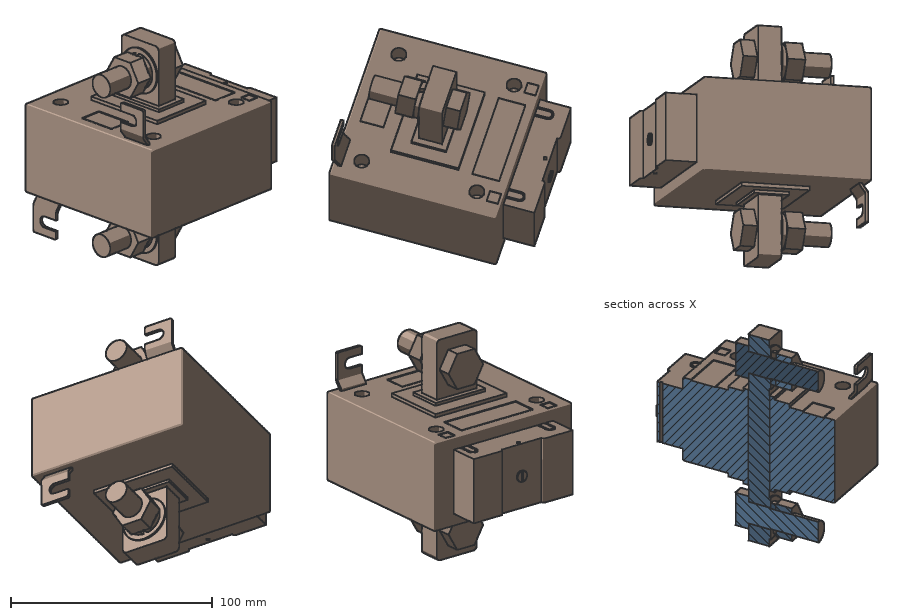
import cadquery as cq
import math


overall_height = 118.0

housing_side = 87.0
housing_height = 47.8
housing_edge_radius = 1.2
housing_top = housing_height / 2
housing_front = -housing_side / 2
housing_back = housing_side / 2

collar_base_x = 45.0
collar_base_y = 35.0
collar_base_height = 1.9
collar_step_x = 31.4
collar_step_y = 18.0
collar_step_height = 1.5

blind_hole_diameter = 7.4
blind_hole_depth = 10.0
blind_hole_spacing_x = 63.2
blind_hole_spacing_y = 59.7

label_depth = 0.5
rating_label_y = 13.9
rating_label_centre_y = 31.6
terminal_label_x = 20.1
terminal_label_y = 12.0
terminal_label_centre_y = -31.2
mark_label_side = 5.8
mark_label_centre_x = 32.1
mark_label_centre_y = 38.8

block_width = 62.3
block_reach = 16.0
block_height = 34.3
block_back = housing_back + block_reach
block_top = block_height / 2
notch_width = 25.0
notch_depth = 1.5
notch_corner_radius = 1.4
notch_floor = block_back - notch_depth
seal_hole_diameter = 1.7
seal_hole_inset = 3.9
screw_head_diameter = 5.9
screw_head_height = 0.8
screw_slot_width = 1.0

groove_centre_x = 24.3
groove_outer_radius = 2.6
groove_width = 0.7
groove_reach = 9.0
groove_depth = 0.5

bracket_thickness = 1.5
bracket_inner_x = 22.1
bracket_width = 15.5
bracket_end_z = 43.4
bracket_corner_radius = 1.1
bracket_set_back = 3.2
bracket_upper_bend_z = 28.3
bracket_lower_bend_z = 24.2
bracket_embedded_depth = 2.4
bracket_slot_width = 6.0
bracket_slot_z = 36.0
bracket_slot_length = 10.7

bar_width = 25.3
bar_thickness = 12.0
bar_corner_radius = 2.2
bar_front = -bar_thickness / 2
bar_back = bar_thickness / 2
contact_face_diameter = 24.0
contact_face_height = 0.8

terminal_z = 43.0
bolt_diameter = 12.0
bolt_length = 40.0
hex_across_flats = 18.9
bolt_head_height = 7.3
lock_washer_diameter = 18.4
lock_washer_thickness = 3.0
lock_washer_gap = 2.4
lock_washer_gap_offset = 0.5
lock_washer_gap_slope = 20.0
nut_height = 9.1

lock_washer_back = bar_front - contact_face_height
nut_back = lock_washer_back - lock_washer_thickness

half_turns = (0, 180)


def box_between(x_range, y_range, z_range):
    """Box given by its lower and upper limit along each axis."""
    size = [upper - lower for lower, upper in (x_range, y_range, z_range)]
    corner = (x_range[0], y_range[0], z_range[0])
    return cq.Workplane("XY").box(*size, centered=False).translate(corner)


def plane_facing_front(y, z=0):
    """XZ work plane at the given place; extruding goes towards the front (-Y)."""
    return cq.Workplane("XZ", origin=(0, y, z))


def hexagon(back_y, length):
    """Hexagonal prism at the upper terminal, with two corners on its X axis."""
    across_corners = hex_across_flats / math.cos(math.pi / 6)
    return plane_facing_front(back_y, terminal_z).polygon(6, across_corners).extrude(length)


def turned(body, angle):
    """The body turned about the Y axis."""
    return body.rotate((0, 0, 0), (0, 1, 0), angle)


def make_shell():
    shell = cq.Workplane("XY").box(housing_side, housing_side, housing_height)
    return shell.edges().fillet(housing_edge_radius)


def make_collars():
    """Both stepped collars, joined through the inside of the housing."""
    base_height = housing_height + 2 * collar_base_height
    step_height = base_height + 2 * collar_step_height
    base = cq.Workplane("XY").box(collar_base_x, collar_base_y, base_height)
    step = cq.Workplane("XY").box(collar_step_x, collar_step_y, step_height)
    return base.union(step)


def make_blind_holes():
    return (
        cq.Workplane("XY", origin=(0, 0, housing_top))
        .rarray(blind_hole_spacing_x, blind_hole_spacing_y, 2, 2)
        .circle(blind_hole_diameter / 2)
        .extrude(-blind_hole_depth)
    )


def make_label_recess(centre_x, centre_y, size_x, size_y):
    """Shallow rectangular recess in the top face."""
    place = cq.Workplane("XY", origin=(centre_x, centre_y, housing_top))
    return place.rect(size_x, size_y).extrude(-label_depth)


def make_arched_groove(centre_x):
    """U-shaped groove whose round end points to the back of the block."""

    def arch(radius):
        arc_y = housing_back + groove_reach - groove_outer_radius
        return (
            cq.Workplane("XY", origin=(centre_x, 0, block_top))
            .moveTo(-radius, housing_back)
            .lineTo(-radius, arc_y)
            .threePointArc((0, arc_y + radius), (radius, arc_y))
            .lineTo(radius, housing_back)
            .close()
            .extrude(-groove_depth)
        )

    return arch(groove_outer_radius).cut(arch(groove_outer_radius - groove_width))


def make_terminal_block():
    """Block with a notch across its back, a seal hole and a slotted screw head."""
    half_width = block_width / 2
    half_notch = notch_width / 2
    z_range = (-block_top, block_top)
    block = box_between((-half_width, half_width), (0, block_back), z_range)
    notch = box_between((-half_notch, half_notch), (notch_floor, block_back), z_range)
    block = block.cut(notch)
    for side in (-1, 1):
        notch_corner = cq.NearestToPointSelector((side * half_notch, block_back, 0))
        block = block.edges("|Z").edges(notch_corner).fillet(notch_corner_radius)

    seal_hole = (
        cq.Workplane("XY", origin=(0, block_back - seal_hole_inset, -block_top))
        .circle(seal_hole_diameter / 2)
        .extrude(block_height)
    )
    block = block.cut(seal_hole)

    screw_head = (
        plane_facing_front(notch_floor)
        .circle(screw_head_diameter / 2)
        .extrude(-screw_head_height)
    )
    screw_slot = plane_facing_front(notch_floor).rect(screw_slot_width, screw_head_diameter)
    screw_head = screw_head.cut(screw_slot.extrude(-screw_head_height))
    block = block.union(screw_head)

    for side in (-1, 1):
        block = block.cut(make_arched_groove(side * groove_centre_x))
    return block


def make_bracket():
    """Upper bracket: a sheet set back by two bends, with an open slot."""
    bend_angle = math.atan2(bracket_set_back, bracket_upper_bend_z - bracket_lower_bend_z)
    bend_shift = bracket_thickness * math.tan(bend_angle / 2)
    root_z = housing_top - bracket_embedded_depth
    front_outer = (housing_front, bracket_upper_bend_z)
    front_inner = (housing_front + bracket_set_back, bracket_lower_bend_z)
    back_outer = (front_outer[0] + bracket_thickness, front_outer[1] + bend_shift)
    back_inner = (front_inner[0] + bracket_thickness, front_inner[1] + bend_shift)
    outline = [
        (front_outer[0], bracket_end_z),
        front_outer,
        front_inner,
        (front_inner[0], root_z),
        (back_inner[0], root_z),
        back_inner,
        back_outer,
        (back_outer[0], bracket_end_z),
    ]
    bracket = (
        cq.Workplane("YZ", origin=(bracket_inner_x, 0, 0))
        .polyline(outline)
        .close()
        .extrude(bracket_width)
    )

    tight_radius = bracket_thickness
    wide_radius = tight_radius + bracket_thickness
    bends = [
        (front_outer, wide_radius),
        (back_outer, tight_radius),
        (front_inner, tight_radius),
        (back_inner, wide_radius),
    ]
    middle_x = bracket_inner_x + bracket_width / 2
    for (y, z), radius in bends:
        bend = cq.NearestToPointSelector((middle_x, y, z))
        bracket = bracket.edges("|X").edges(bend).fillet(radius)
    bracket = bracket.faces(">Z").edges("|Y").fillet(bracket_corner_radius)

    slot_end_x = bracket_inner_x + bracket_slot_length
    slot_radius = bracket_slot_width / 2
    slot = (
        plane_facing_front(housing_front + bracket_thickness, bracket_slot_z)
        .moveTo(bracket_inner_x, slot_radius)
        .lineTo(slot_end_x - slot_radius, slot_radius)
        .threePointArc((slot_end_x, 0), (slot_end_x - slot_radius, -slot_radius))
        .lineTo(bracket_inner_x, -slot_radius)
        .close()
        .extrude(bracket_thickness)
    )
    return bracket.cut(slot)


def make_housing():
    housing = make_shell().union(make_terminal_block()).union(make_collars())
    housing = housing.cut(make_blind_holes())
    labels = [
        (0, rating_label_centre_y, collar_base_x, rating_label_y),
        (0, terminal_label_centre_y, terminal_label_x, terminal_label_y),
        (-mark_label_centre_x, mark_label_centre_y, mark_label_side, mark_label_side),
        (mark_label_centre_x, mark_label_centre_y, mark_label_side, mark_label_side),
    ]
    for label in labels:
        housing = housing.cut(make_label_recess(*label))
    bracket = make_bracket()
    for angle in half_turns:
        housing = housing.union(turned(bracket, angle))
    bar_opening = cq.Workplane("XY").box(bar_width, bar_thickness, overall_height)
    return housing.cut(bar_opening)


def make_busbar():
    """Bar with rounded ends, a raised contact face and a bolt hole at each end."""
    bar = cq.Workplane("XY").box(bar_width, bar_thickness, overall_height)
    bar = bar.edges("|Y").fillet(bar_corner_radius)
    contact_face = (
        plane_facing_front(bar_front, terminal_z)
        .circle(contact_face_diameter / 2)
        .extrude(contact_face_height)
    )
    bolt_hole = (
        plane_facing_front(bar_back, terminal_z)
        .circle(bolt_diameter / 2)
        .extrude(bar_thickness + contact_face_height)
    )
    for angle in half_turns:
        bar = bar.union(turned(contact_face, angle)).cut(turned(bolt_hole, angle))
    return bar


def make_bolt():
    head = hexagon(bar_back + bolt_head_height, bolt_head_height)
    shank = plane_facing_front(bar_back, terminal_z).circle(bolt_diameter / 2).extrude(bolt_length)
    return head.union(shank)


def make_lock_washer():
    """Spring ring with a slanted gap at its outer end."""
    ring = (
        plane_facing_front(lock_washer_back, terminal_z)
        .circle(lock_washer_diameter / 2)
        .circle(bolt_diameter / 2)
        .extrude(lock_washer_thickness)
    )
    slant = lock_washer_thickness / 2 * math.tan(math.radians(lock_washer_gap_slope))
    half_gap = lock_washer_gap / 2
    gap = (
        cq.Workplane("XY", origin=(-lock_washer_gap_offset, 0, terminal_z))
        .polyline([
            (-half_gap - slant, lock_washer_back),
            (half_gap - slant, lock_washer_back),
            (half_gap + slant, nut_back),
            (-half_gap + slant, nut_back),
        ])
        .close()
        .extrude(lock_washer_diameter / 2)
    )
    return ring.cut(gap)


def make_nut():
    bolt_hole = plane_facing_front(nut_back, terminal_z).circle(bolt_diameter / 2).extrude(nut_height)
    return hexagon(nut_back, nut_height).cut(bolt_hole)


housing = make_housing()
busbar = make_busbar()
bolts = [turned(make_bolt(), angle) for angle in half_turns]
lock_washers = [turned(make_lock_washer(), angle) for angle in half_turns]
nuts = [turned(make_nut(), angle) for angle in half_turns]

bodies = [housing, busbar, *bolts, *lock_washers, *nuts]
result = cq.Compound.makeCompound([body.val() for body in bodies])